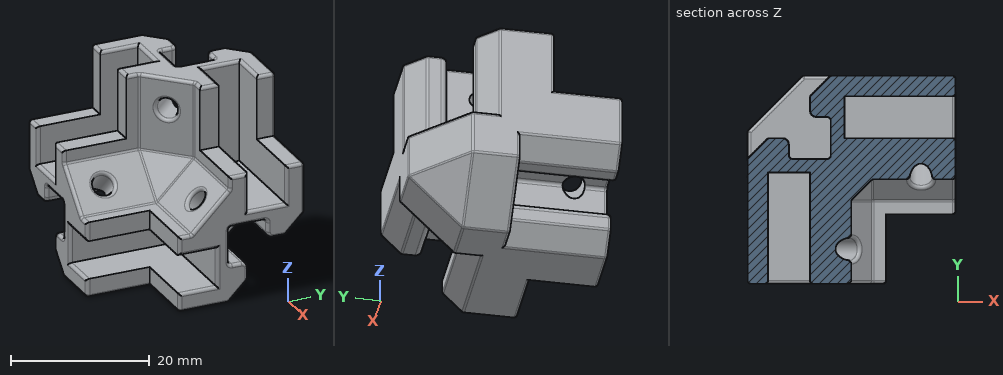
import cadquery as cq
import math

SIZE = 30.0
ARM = SIZE * 2 / 3
GRID = SIZE / 30

WALL = 3 * GRID
SLOT_FAR_SIDE = 9 * GRID
PANEL_FLOOR = 14 * GRID
POCKET_NEAR = 6 * GRID
POCKET_FAR = 12 * GRID
T_SLOT_MOUTH = WALL + SLOT_FAR_SIDE
T_SLOT_START = SIZE / 2

CAVITY_WALL = 12 * GRID
CAVITY_DIAGONAL = 18 * GRID

CORNER_CUT = 8 * GRID

EDGE_RADIUS = GRID / 2
LIP_RADIUS = GRID

HOLE_DIAMETER = 3.2
HOLE_PLACE = 25 * GRID
HOLE_ENTRY = (CAVITY_WALL + CAVITY_DIAGONAL) / 2
BEYOND = 3.0

TOLERANCE = 0.003
ARM_COUNT = 3
CORNER_AXIS = (1, -1, 1)


def on_all_arms(body):
    """Return the body for the +Z arm with its copies for the two other arms."""
    return [body.rotate((0, 0, 0), CORNER_AXIS, step * 360 / ARM_COUNT) for step in range(ARM_COUNT)]


def prism(points, bottom, top):
    """Upright prism over points given as distances from the X = 0 and Y = 0 faces."""
    outline = [(x, -depth) for x, depth in points]
    return cq.Workplane("XY").workplane(offset=bottom).polyline(outline).close().extrude(top - bottom)


def corner_tetrahedron(apex, leg):
    """Tetrahedron with three equal legs along +X, -Y and +Z; the apex is apex deep from each outer face."""
    tip = cq.Vector(apex, -apex, apex)
    ends = [tip + cq.Vector(*way) * leg for way in ((1, 0, 0), (0, -1, 0), (0, 0, 1))]
    triangles = [ends] + [[tip, ends[i - 1], ends[i]] for i in range(len(ends))]
    faces = [cq.Face.makeFromWires(cq.Wire.makePolygon(corners, close=True)) for corners in triangles]
    return cq.Workplane(cq.Solid.makeSolid(cq.Shell.makeShell(faces)))


def edges_near(low, high):
    """Select edges with their centre between two places given as (x, depth from Y = 0, z)."""
    return cq.selectors.BoxSelector(
        (low[0] - TOLERANCE, -low[1] + TOLERANCE, low[2] - TOLERANCE),
        (high[0] + TOLERANCE, -high[1] - TOLERANCE, high[2] + TOLERANCE),
    )


def upright_edges(x, depth):
    """Select edges of the +Z arm that stand on one point of its section."""
    return edges_near((x, depth, 0), (x, depth, SIZE))


def mirrored(points):
    """The section points with their mirror images about the diagonal of the section."""
    return points + [(depth, x) for x, depth in points]


def cycled(place, steps):
    """Move a place given as (x, depth, z) from one arm to another."""
    return place[steps:] + place[:steps]


def t_slot():
    """Pocket at the outer edge of an arm, with a neck that flares out at 45 degrees."""
    lip = (POCKET_NEAR, SLOT_FAR_SIDE)
    side_corner = (POCKET_NEAR, POCKET_FAR)
    far_corner = (POCKET_FAR, POCKET_FAR)
    flare_end = (-BEYOND, T_SLOT_MOUTH + BEYOND)
    near_half = [flare_end, (WALL, SLOT_FAR_SIDE), lip, side_corner]
    far_half = [(depth, x) for x, depth in reversed(near_half)]
    points = near_half + [far_corner] + far_half + [(-BEYOND, -BEYOND)]
    slot = prism(points, T_SLOT_START, SIZE + BEYOND)
    for x, depth in mirrored([lip]):
        slot = slot.edges(upright_edges(x, depth)).fillet(LIP_RADIUS)
    for x, depth in mirrored([side_corner]) + [far_corner]:
        slot = slot.edges(upright_edges(x, depth)).fillet(EDGE_RADIUS)
    return slot


def panel_slot():
    """Slot parallel to the X = 0 face, open to the inside of the corner."""
    reach = SIZE + BEYOND
    points = [
        (WALL, PANEL_FLOOR),
        (SLOT_FAR_SIDE, PANEL_FLOOR),
        (SLOT_FAR_SIDE, reach),
        (WALL, reach),
    ]
    return prism(points, PANEL_FLOOR, reach)


def inner_cavity():
    """Space between the arms: sloped faces along the arms, closed by a triangular face."""
    reach = SIZE + BEYOND
    section = [
        (CAVITY_WALL, CAVITY_DIAGONAL),
        (CAVITY_DIAGONAL, CAVITY_WALL),
        (reach, CAVITY_WALL),
        (reach, reach),
        (CAVITY_WALL, reach),
    ]
    along_z, along_x, along_y = on_all_arms(prism(section, CAVITY_WALL, reach))
    cavity = along_z.intersect(along_x).intersect(along_y)
    return cavity.cut(corner_tetrahedron(CAVITY_WALL, 2 * (CAVITY_DIAGONAL - CAVITY_WALL)))


def screw_hole():
    """Hole from the sloped inner face of the +Z arm into its T-slot pocket."""
    start = HOLE_ENTRY + BEYOND
    end = (POCKET_NEAR + POCKET_FAR) / 2
    length = (start - end) * math.sqrt(2)
    axis_start = cq.Vector(start, -start, HOLE_PLACE)
    return cq.Workplane(cq.Solid.makeCylinder(HOLE_DIAMETER / 2, length, axis_start, cq.Vector(-1, 1, 0)))


def sharp_body():
    """Three square bars joined at the corner, with all slots, bevels and holes cut."""
    arm = prism([(0, 0), (ARM, 0), (ARM, ARM), (0, ARM)], 0, SIZE)
    along_z, along_x, along_y = on_all_arms(arm)
    body = along_z.union(along_x).union(along_y)
    bevel = prism([(0, 0), (CORNER_CUT, 0), (0, CORNER_CUT)], 0, SIZE)
    for cutter in (panel_slot(), bevel, t_slot()):
        for copy in on_all_arms(cutter):
            body = body.cut(copy)
    body = body.cut(corner_tetrahedron(0, 2 * CORNER_CUT))
    body = body.cut(inner_cavity())
    for hole in on_all_arms(screw_hole()):
        body = body.cut(hole)
    return body


def rounded_body():
    """The body with the small rounding on its ends, outer edges, cavity folds and hole rims."""
    upright_lines = mirrored([
        (0, ARM),
        (0, T_SLOT_MOUTH),
        (0, CORNER_CUT),
        (WALL, SLOT_FAR_SIDE),
        (CAVITY_WALL, CAVITY_DIAGONAL),
    ])
    floor_edge_centers = mirrored([(0, (T_SLOT_MOUTH + CORNER_CUT) / 2)])
    floor_edge_centers.append((CORNER_CUT / 2, CORNER_CUT / 2))

    spans = [((x, depth, 0), (x, depth, SIZE)) for x, depth in upright_lines]
    spans += [((x, depth, T_SLOT_START),) * 2 for x, depth in floor_edge_centers]
    spans += [((HOLE_ENTRY, HOLE_ENTRY, HOLE_PLACE),) * 2]

    body = sharp_body()
    triangular_faces = body.faces(cq.selectors.ParallelDirSelector(cq.Vector(CORNER_AXIS)))
    edges = triangular_faces.edges().add(body.faces(">X or <Y or >Z").edges())
    for low, high in spans:
        for steps in range(ARM_COUNT):
            edges = edges.add(body.edges(edges_near(cycled(low, steps), cycled(high, steps))))
    return edges.fillet(EDGE_RADIUS)


result = rounded_body()